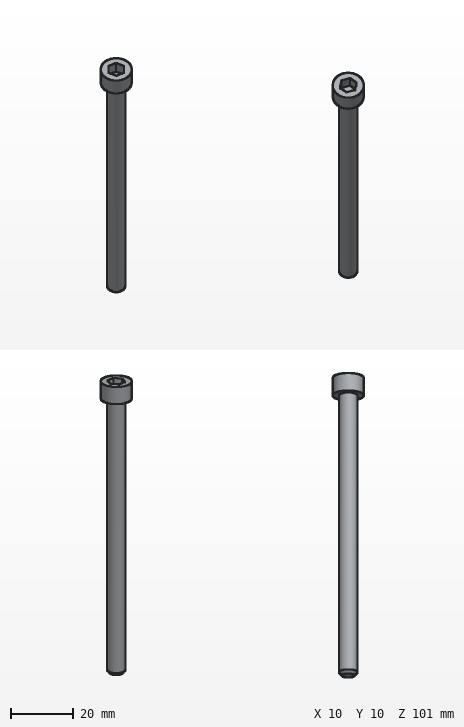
import cadquery as cq

total_length = 101.0
head_diameter = 10.0
head_height = 6.0
shank_diameter = 6.0
socket_across_corners = 5.8
socket_depth = 4.0
tip_diameter = 4.0
tip_height = 1.1

shank_length = total_length - head_height
tip_inset = (shank_diameter - tip_diameter) / 2


def make_shank():
    """Plain cylinder with a tapered lead-in at its lower end."""
    shank = cq.Workplane("XY").circle(shank_diameter / 2).extrude(shank_length)
    return shank.faces("<Z").chamfer(tip_height, tip_inset)


def make_head():
    """Cylindrical head seated on top of the shank."""
    return (
        cq.Workplane("XY")
        .workplane(offset=shank_length)
        .circle(head_diameter / 2)
        .extrude(head_height)
    )


def make_socket():
    """Hexagonal drive recess with two corners on the X axis."""
    return (
        cq.Workplane("XY")
        .workplane(offset=total_length - socket_depth)
        .polygon(6, socket_across_corners)
        .extrude(socket_depth)
    )


result = make_shank().union(make_head()).cut(make_socket())